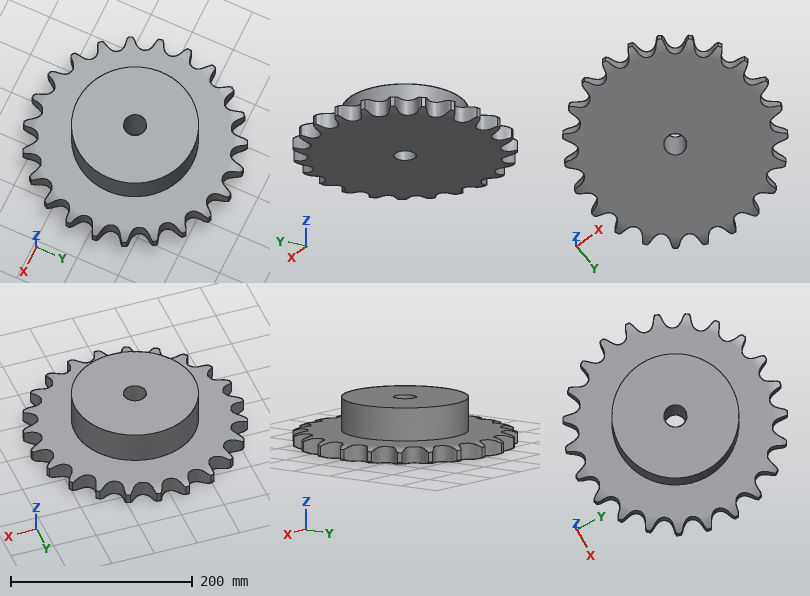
import cadquery as cq
import math

TEETH = 23
CHAIN_PITCH = 31.7
ROLLER_DIAMETER = 19.0
OVERALL_LENGTH = 248
RIM_WIDTH = 18.0
FACE_DIAMETER = 219.2
HUB_DIAMETER = 140.0
BORE_DIAMETER = 25.0
TOTAL_HEIGHT = 55.0

TOOTH_STEP = 360 / TEETH
PITCH_RADIUS = CHAIN_PITCH / 2 / math.sin(math.pi / TEETH)
FACE_RADIUS = FACE_DIAMETER / 2
SIDE_CURVE_RADIUS = CHAIN_PITCH

SEAT_CLEARANCE = 1.005
SEAT_RADIUS = SEAT_CLEARANCE * ROLLER_DIAMETER / 2
WORKING_CENTRE_OFFSET = 0.8 * ROLLER_DIAMETER
TOPPING_CENTRE_OFFSET = 1.4 * ROLLER_DIAMETER
SEAT_ANGLE = 35 + 60 / TEETH
WORKING_ANGLE = 18 - 56 / TEETH
TOPPING_ANGLE = 17 - 64 / TEETH
FLANK_ANGLE = SEAT_ANGLE - WORKING_ANGLE
WORKING_RADIUS = SEAT_RADIUS + WORKING_CENTRE_OFFSET
FLANK_LENGTH = (
    TOPPING_CENTRE_OFFSET * math.sin(math.radians(TOPPING_ANGLE))
    - WORKING_CENTRE_OFFSET * math.sin(math.radians(WORKING_ANGLE))
)
TOPPING_RADIUS = (
    WORKING_CENTRE_OFFSET * math.cos(math.radians(WORKING_ANGLE))
    + TOPPING_CENTRE_OFFSET * math.cos(math.radians(TOPPING_ANGLE))
    - WORKING_RADIUS
)


def offset(point, distance, angle):
    """Point at a distance and angle (degrees from +X) from another point."""
    turn = math.radians(angle)
    return (point[0] + distance * math.cos(turn), point[1] + distance * math.sin(turn))


def mirrored(point):
    return (-point[0], point[1])


seat_centre = (0, PITCH_RADIUS)
seat_bottom = offset(seat_centre, SEAT_RADIUS, -90)
seat_end = offset(seat_centre, SEAT_RADIUS, -SEAT_ANGLE)
working_centre = offset(seat_centre, WORKING_CENTRE_OFFSET, 180 - SEAT_ANGLE)
working_middle = offset(working_centre, WORKING_RADIUS, -(SEAT_ANGLE + FLANK_ANGLE) / 2)
working_end = offset(working_centre, WORKING_RADIUS, -FLANK_ANGLE)
flank_end = offset(working_end, FLANK_LENGTH, 90 - FLANK_ANGLE)
topping_centre = offset(flank_end, TOPPING_RADIUS, -FLANK_ANGLE)


def tip_circle_radius():
    """Radius that puts the corner of the tooth nearest the +X axis at half the overall length."""
    corner_x = OVERALL_LENGTH / 2
    centre_angle = 180 - math.degrees(math.atan2(topping_centre[1], topping_centre[0]))
    steps_to_x_axis = round(TEETH / 4)
    centre_x, centre_y = offset(
        (0, 0), math.hypot(*topping_centre), centre_angle - steps_to_x_axis * TOOTH_STEP
    )
    corner_y = centre_y - math.sqrt(TOPPING_RADIUS**2 - (corner_x - centre_x) ** 2)
    return math.hypot(corner_x, corner_y)


TIP_RADIUS = tip_circle_radius()

CUT_OVERSHOOT = 1.2
CUT_RADIUS = TIP_RADIUS + CUT_OVERSHOOT


def gap_outline():
    """Tooth gap centred on the +Y axis, closed outside the tip circle."""
    start_angle = 180 - FLANK_ANGLE
    end_angle = 180 - math.degrees(math.asin((CUT_RADIUS - topping_centre[1]) / TOPPING_RADIUS))
    topping_middle = offset(topping_centre, TOPPING_RADIUS, (start_angle + end_angle) / 2)
    topping_end = offset(topping_centre, TOPPING_RADIUS, end_angle)

    return (
        cq.Workplane("XY")
        .moveTo(*mirrored(topping_end))
        .threePointArc(mirrored(topping_middle), mirrored(flank_end))
        .lineTo(*mirrored(working_end))
        .threePointArc(mirrored(working_middle), mirrored(seat_end))
        .threePointArc(seat_bottom, seat_end)
        .threePointArc(working_middle, working_end)
        .lineTo(*flank_end)
        .threePointArc(topping_middle, topping_end)
        .close()
    )


def side_drop(radius):
    """How far the curved tooth side lies below the flat rim face at a radius."""
    run = radius - FACE_RADIUS
    return SIDE_CURVE_RADIUS - math.sqrt(SIDE_CURVE_RADIUS**2 - run**2)


def rim_blank():
    """Disc whose two faces curve in towards the tip circle."""
    middle_radius = (FACE_RADIUS + TIP_RADIUS) / 2
    middle_drop = side_drop(middle_radius)
    tip_drop = side_drop(TIP_RADIUS)
    return (
        cq.Workplane("XZ")
        .moveTo(0, 0)
        .lineTo(FACE_RADIUS, 0)
        .threePointArc((middle_radius, middle_drop), (TIP_RADIUS, tip_drop))
        .lineTo(TIP_RADIUS, RIM_WIDTH - tip_drop)
        .threePointArc((middle_radius, RIM_WIDTH - middle_drop), (FACE_RADIUS, RIM_WIDTH))
        .lineTo(0, RIM_WIDTH)
        .close()
        .revolve(360, (0, 0, 0), (0, 1, 0))
    )


def toothed_rim():
    """Rim with a gap on the +Y axis and a tooth on the -Y axis."""
    rim = rim_blank()
    gap = gap_outline().extrude(RIM_WIDTH)
    for index in range(TEETH):
        rim = rim.cut(gap.rotate((0, 0, 0), (0, 0, 1), index * TOOTH_STEP))
    return rim


hub = cq.Workplane("XY").circle(HUB_DIAMETER / 2).extrude(TOTAL_HEIGHT)
bore = cq.Workplane("XY").circle(BORE_DIAMETER / 2).extrude(TOTAL_HEIGHT)

result = toothed_rim().union(hub).cut(bore)